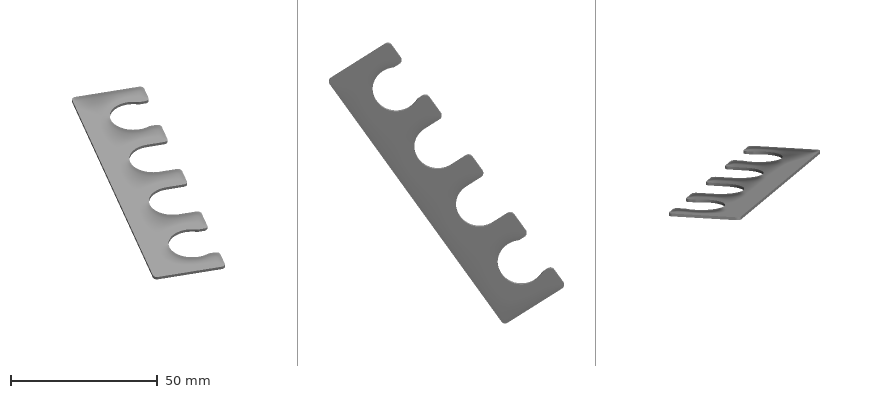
import cadquery as cq

length = 107.7
width = 25.4
thickness = 1.0
corner_radius = 1.5

holder_count = 4
holder_pitch = 25.4
holder_radius = 8.1
holder_floor = 9.7
inner_mouth = 2 * holder_radius
outer_mouth = 14.2
mouth_corner_radius = 1.5
neck_radius = 1.6

edge_margin = 0.5
back_edge = width / 2
holder_y = -width / 2 + holder_floor + holder_radius


def holder_cutter(x, mouth):
    """Round pocket at x, open to the back edge through a straight mouth."""
    depth = back_edge - holder_y
    circle = cq.Workplane("XY").center(x, holder_y).circle(holder_radius).extrude(thickness)
    slot = (
        cq.Workplane("XY")
        .center(x, holder_y + depth / 2)
        .rect(mouth, depth)
        .extrude(thickness)
    )
    cutter = circle.union(slot)
    if mouth < 2 * holder_radius:
        lip_zone = cq.selectors.BoxSelector(
            (x - holder_radius, holder_y + edge_margin, -thickness),
            (x + holder_radius, back_edge - edge_margin, 2 * thickness),
        )
        cutter = cutter.edges("|Z").edges(lip_zone).fillet(neck_radius)
    return cutter


plate = (
    cq.Workplane("XY")
    .rect(length, width)
    .extrude(thickness)
    .edges("|Z")
    .fillet(corner_radius)
)

for index in range(holder_count):
    holder_x = (index - (holder_count - 1) / 2) * holder_pitch
    is_end = index in (0, holder_count - 1)
    plate = plate.cut(holder_cutter(holder_x, outer_mouth if is_end else inner_mouth))

mouth_corners = cq.selectors.BoxSelector(
    (-length / 2 + 2 * corner_radius, back_edge - edge_margin, -thickness),
    (length / 2 - 2 * corner_radius, back_edge + edge_margin, 2 * thickness),
)
result = plate.edges("|Z").edges(mouth_corners).fillet(mouth_corner_radius)